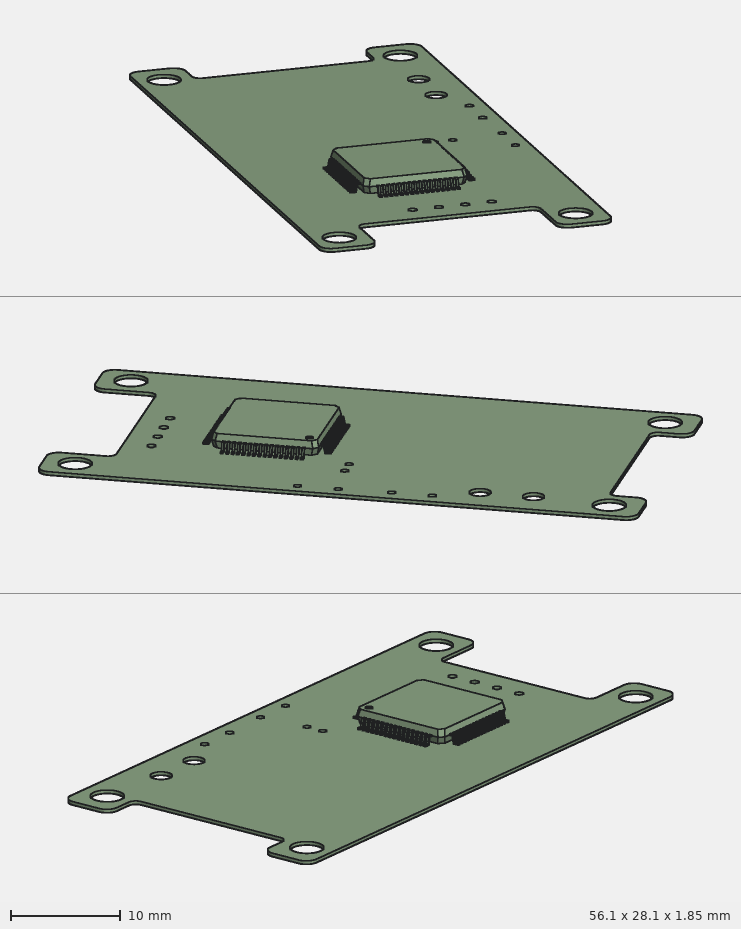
import cadquery as cq

board_length = 56.13
board_width = 28.07
total_height = 1.85
board_thickness = 0.35
board_corner_radius = 1.15

notch_width = 17.48
left_notch_depth = 3.76
right_notch_depth = 6.1
notch_corner_radius = 0.8

mount_hole_diameter = 3.1
mount_hole_center = (0.05, -0.08)
mount_hole_span_x = 50.02
mount_hole_span_y = 22.77

wire_hole_diameter = 2.0
wire_hole_pitch = 5.0
wire_hole_center = (-15.2, 10.61)

pair_count = 2

left_pair_hole_diameter = 0.76
right_pair_hole_diameter = 0.71
inner_hole_diameter = 0.71
header_hole_diameter = 0.81
edge_pair_pitch = 3.8
left_edge_pair_center = (-6.74, 12.44)
right_edge_pair_center = (2.03, 12.64)
inner_pair_pitch = 1.8
inner_pair_center = (0.64, 6.82)
header_pitch = 2.54
header_count = 4
header_center = (19.33, 1.34)

chip_center = (8.88, -0.24)
chip_standoff = 0.1
body_size = 10.05
body_draft_inset = 0.16
body_corner_chamfer = 0.45
dimple_diameter = 0.71
dimple_depth = 0.1
dimple_inset = 0.83

lead_span = 12.0
lead_pitch = 0.5
leads_per_side = 16
package_sides = 4
lead_width = 0.22
lead_thickness = 0.13
foot_length = 0.55
lead_slope_run = 0.15
lead_bend_radius = 0.06
lead_embed = 0.3

body_bottom = board_thickness + chip_standoff
body_middle = (body_bottom + total_height) / 2
body_half_height = (total_height - body_bottom) / 2


def drill_row(board, diameter, center, pitch, count, along_x):
    """Drill a straight row of through holes centred on a point."""
    offsets = [(i - (count - 1) / 2) * pitch for i in range(count)]
    if along_x:
        points = [(center[0] + offset, center[1]) for offset in offsets]
    else:
        points = [(center[0], center[1] + offset) for offset in offsets]
    drills = cq.Workplane("XY").pushPoints(points).circle(diameter / 2).extrude(board_thickness)
    return board.cut(drills)


def cut_notch(board, side, depth):
    """Cut a notch in the end on the given side (-1 left, 1 right), rounding all its corners."""
    floor_x = side * (board_length / 2 - depth)
    notch = (
        cq.Workplane("XY")
        .center(side * (board_length - depth) / 2, 0)
        .rect(depth, notch_width)
        .extrude(board_thickness)
    )
    board = board.cut(notch)
    half_width = notch_width / 2
    for y in (-half_width, half_width):
        board = fillet_upright_edge(board, floor_x, y, notch_corner_radius)
        board = fillet_upright_edge(board, side * board_length / 2, y, board_corner_radius)
    return board


def fillet_upright_edge(board, x, y, radius):
    """Round the upright board edge nearest to the given place."""
    nearest = cq.selectors.NearestToPointSelector((x, y, board_thickness / 2))
    return board.edges("|Z").edges(nearest).fillet(radius)


def make_board():
    board = cq.Workplane("XY").rect(board_length, board_width).extrude(board_thickness)
    board = board.edges("|Z").fillet(board_corner_radius)
    board = cut_notch(board, -1, left_notch_depth)
    board = cut_notch(board, 1, right_notch_depth)
    mount_drills = (
        cq.Workplane("XY")
        .center(*mount_hole_center)
        .rect(mount_hole_span_x, mount_hole_span_y, forConstruction=True)
        .vertices()
        .circle(mount_hole_diameter / 2)
        .extrude(board_thickness)
    )
    board = board.cut(mount_drills)
    board = drill_row(board, wire_hole_diameter, wire_hole_center, wire_hole_pitch, pair_count, True)
    board = drill_row(board, left_pair_hole_diameter, left_edge_pair_center, edge_pair_pitch, pair_count, True)
    board = drill_row(
        board, right_pair_hole_diameter, right_edge_pair_center, edge_pair_pitch, pair_count, True
    )
    board = drill_row(board, inner_hole_diameter, inner_pair_center, inner_pair_pitch, pair_count, False)
    return drill_row(board, header_hole_diameter, header_center, header_pitch, header_count, False)


def body_outline(workplane, size):
    """Square with chamfered corners."""
    half = size / 2
    flat = half - body_corner_chamfer
    return workplane.polyline(
        [
            (-flat, -half),
            (flat, -half),
            (half, -flat),
            (half, flat),
            (flat, half),
            (-flat, half),
            (-half, flat),
            (-half, -flat),
        ]
    ).close()


def make_body_half(direction):
    """Half of the chip body, tapering up (1) or down (-1) from the widest section."""
    widest = body_outline(cq.Workplane("XY").workplane(offset=body_middle), body_size)
    end_plane = widest.workplane(offset=direction * body_half_height)
    return body_outline(end_plane, body_size - 2 * body_draft_inset).loft(ruled=True)


def make_body():
    """Chip body centred on the Z axis, with the pin-one dimple in its top."""
    body = make_body_half(1).union(make_body_half(-1))
    dimple_place = body_size / 2 - body_draft_inset - dimple_inset
    dimple = (
        cq.Workplane("XY")
        .workplane(offset=total_height - dimple_depth)
        .center(-dimple_place, dimple_place)
        .circle(dimple_diameter / 2)
        .extrude(dimple_depth)
    )
    return body.cut(dimple)


def make_lead():
    """One lead pointing along +X, centred on Y = 0."""
    tip = lead_span / 2
    heel = tip - foot_length
    root = body_size / 2 - lead_embed
    shoulder = heel - lead_slope_run
    foot_bottom = board_thickness
    foot_top = foot_bottom + lead_thickness
    shoulder_top = body_middle + lead_thickness / 2
    shoulder_bottom = body_middle - lead_thickness / 2
    lead = (
        cq.Workplane("XZ")
        .polyline(
            [
                (tip, foot_bottom),
                (tip, foot_top),
                (heel + lead_thickness, foot_top),
                (shoulder + lead_thickness, shoulder_top),
                (root, shoulder_top),
                (root, shoulder_bottom),
                (shoulder, shoulder_bottom),
                (heel, foot_bottom),
            ]
        )
        .close()
        .extrude(lead_width / 2, both=True)
    )
    for x, z in ((shoulder + lead_thickness, shoulder_top), (heel, foot_bottom)):
        bend = cq.selectors.NearestToPointSelector((x, 0, z))
        lead = lead.edges("|Y").edges(bend).fillet(lead_bend_radius)
    return lead.val()


def make_leads():
    """All leads: an even row on each of the four sides."""
    lead = make_lead()
    leads = []
    for side in range(package_sides):
        for i in range(leads_per_side):
            offset = (i - (leads_per_side - 1) / 2) * lead_pitch
            placed = lead.translate(cq.Vector(0, offset, 0))
            leads.append(placed.rotate(cq.Vector(0, 0, 0), cq.Vector(0, 0, 1), side * 360 / package_sides))
    return leads


chip_offset = cq.Vector(chip_center[0], chip_center[1], 0)
chip = make_body().val().fuse(*make_leads()).translate(chip_offset)
result = cq.Workplane(make_board().val().fuse(chip))